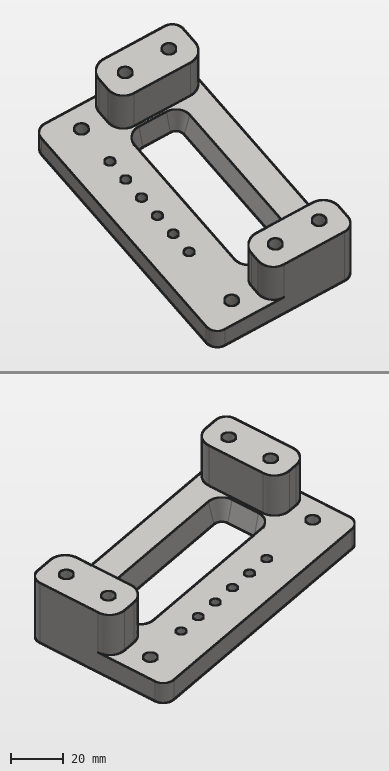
import cadquery as cq

length = 120.0
width = 65.0
plate_thickness = 10.0
plate_corner_radius = 5.0

total_height = 30.0
post_depth = 40.0
left_post_width = 20.0
right_post_width = 18.4
post_corner_radius = 7.1

mount_hole_diameter = 5.5
mount_edge_distance = 10.0
mount_pitch = 20.0
mount_rows = 3

small_hole_diameter = 4.1
small_hole_count = 6
small_hole_pitch = 10.5
first_small_hole_x = 28.9

window_length = 74.0
window_width = 20.0
window_corner_radius = 3.7
window_center_x = 61.0
window_rear_distance = 25.2
window_taper_angle = 15.0


def make_post(x_start, x_size):
    """Full-height post whose outer rear corner follows the plate corner."""
    outer_side = "<X" if x_start == 0 else ">X"
    inner_side = ">X" if x_start == 0 else "<X"
    block = cq.Workplane("XY").box(x_size, post_depth, total_height, centered=False)
    block = block.translate((x_start, width - post_depth, 0))
    outer_rear_edge = block.faces(outer_side).edges("|Z and >Y")
    block = outer_rear_edge.fillet(plate_corner_radius)
    block = block.faces(inner_side).edges("|Z").fillet(post_corner_radius)
    return block.faces(outer_side).edges("|Z and <Y").fillet(post_corner_radius)


def make_window():
    """Tapered cutter through the plate, widening upward."""
    outline = cq.Sketch().rect(window_length, window_width).vertices().fillet(window_corner_radius)
    cutter = cq.Workplane("XY").placeSketch(outline).extrude(plate_thickness, taper=-window_taper_angle)
    return cutter.translate((window_center_x, width - window_rear_distance, 0))


def make_holes(points, diameter):
    """Vertical cutters through the full height."""
    return cq.Workplane("XY").pushPoints(points).circle(diameter / 2).extrude(total_height)


mount_rows_y = [width - mount_edge_distance - row * mount_pitch for row in range(mount_rows)]
mount_columns_x = [mount_edge_distance, length - mount_edge_distance]
mount_points = [(x, y) for x in mount_columns_x for y in mount_rows_y]
small_points = [
    (first_small_hole_x + index * small_hole_pitch, mount_rows_y[-1])
    for index in range(small_hole_count)
]

plate = cq.Workplane("XY").box(length, width, plate_thickness, centered=False)
plate = plate.edges("|Z").fillet(plate_corner_radius)
left_post = make_post(0, left_post_width)
right_post = make_post(length - right_post_width, right_post_width)

result = (
    plate.union(left_post)
    .union(right_post)
    .cut(make_window())
    .cut(make_holes(mount_points, mount_hole_diameter))
    .cut(make_holes(small_points, small_hole_diameter))
)